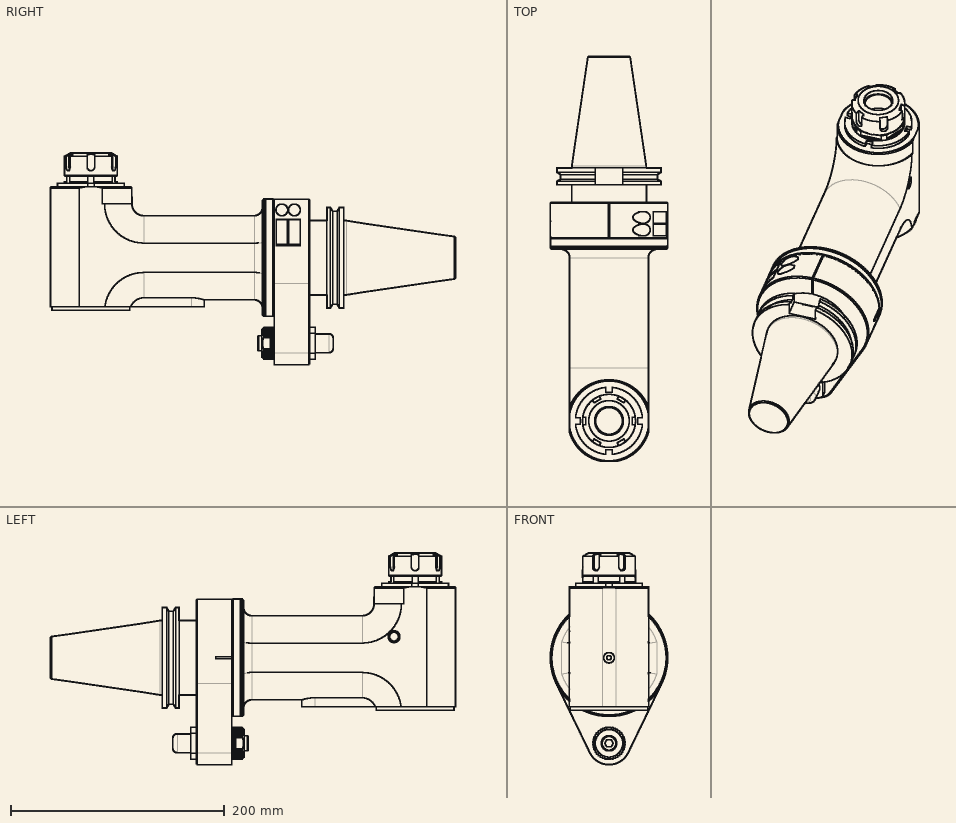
import cadquery as cq
import math


OVERALL_LENGTH = 379.3

head_radius = 77.0 / 2
tube_radius = 79.0 / 2
body_half_width = 74.0 / 2
front_flat_width = 13.0
head_top = 66.5
head_bottom = -46.0
head_top_chamfer = 1.0
elbow_centre_z = 50.5
elbow_centre_y = elbow_centre_z - tube_radius + head_radius
foot_radius = 36.5
foot_height = 3.5
pad_width = 25.0
pad_rear = 106.2
head_front = -math.sqrt(head_radius**2 - (front_flat_width / 2)**2)

countersink_angle = 45
drill_tip_angle = 59
front_mouth_diameter = 10.0
front_drill_diameter = 4.0
front_drill_depth = 6.0
side_mouth_diameter = 11.0
side_drill_diameter = 8.5
side_drill_depth = 3.8
side_drill_y = 19.7
side_drill_z = 19.7

flange_front = 160.5
flange_rear = 171.5
flange_radius = 55.0
flange_front_chamfer = 1.5
flange_rear_chamfer = 1.0
flange_groove_front = 162.5
flange_groove_width = 1.0
flange_groove_depth = 0.8
tube_root_fillet = 7.5

neck_radius = 70.0 / 2
grip_front = 220.8
grip_rear = 236.5
grip_radius = 98.0 / 2
groove_front = 224.0
groove_rear = 232.5
groove_root_radius = 45.5
groove_run = (grip_radius - groove_root_radius) * math.tan(math.radians(30))
drive_slot_width = 25.8
drive_slot_floor = 35.5
gauge_radius = 35.0
gauge_rear = 239.0
taper_end = OVERALL_LENGTH + head_front
taper_end_chamfer = 1.0
taper_end_radius = gauge_radius - (taper_end - gauge_rear) * 7 / 48

collar_radius = 31.5
collar_top = 69.8
collar_notch_count = 4
collar_notch_width = 6.0
collar_notch_floor = 27.0
nut_radius = 49.5 / 2
nose_top = 76.2
nose_flat_bottom = 71.3
nose_flat_distance = 22.8
slot_count = 6
nut_top = 98.2
nut_face_radius = 19.0
nut_top_chamfer = 3.5
nut_bottom_chamfer = 0.95
nut_bore_radius = 12.5
nut_mouth_radius = 27.0 / 2
nut_mouth_depth = 4.5
nut_slot_width = 7.2
nut_slot_floor = 21.5
nut_slot_bottom = 81.5

arm_front = flange_rear
arm_rear = 205.0
arm_edge_chamfer = 1.0
arm_end_radius = 20.0
pin_z = -80.0
clamp_slit_width = 1.0
clamp_hole_diameter = 11.0
clamp_hole_z = 44.8
clamp_hole_floor_x = 11.5
clamp_hole_y = (178.5, 190.5)
patch_inner_x = 41.5
patch_outer_x = 53.5
patch_width = 10.5
patch_depth = 0.5
mark_width = 2.0
mark_length = 15.0
mark_depth = 1.0

pin_radius = 18.0 / 2
pin_end = 227.0
pin_end_fillet = 4.0
pin_collar_radius = 15.0
pin_collar_rear = 210.0
pin_collar_flat_width = 18.5
pin_collar_flat_distance = math.sqrt(pin_collar_radius**2 - (pin_collar_flat_width / 2)**2)
knob_radius = 15.0
knob_front = 160.0
knob_chamfer = 2.3
knurl_count = 40
knurl_depth = 0.8
knurl_fill = 0.8
knob_flat_width = 10.5
knob_flat_rear = 167.5
knob_flat_distance = math.sqrt(knob_radius**2 - (knob_flat_width / 2)**2) - knurl_depth
stud_radius = 7.2
stud_front = 156.3
stud_chamfer = 0.8
socket_width = 7.0
socket_depth = 3.8


def box(x_range, y_range, z_range):
    """Box between two limits on each axis."""
    size = [limits[1] - limits[0] for limits in (x_range, y_range, z_range)]
    corner = cq.Vector(x_range[0], y_range[0], z_range[0])
    return cq.Workplane(cq.Solid.makeBox(*size, corner))


def rod_y(radius, y_start, y_end, z=0.0):
    """Cylinder along Y between two Y positions."""
    return cq.Workplane(cq.Solid.makeCylinder(
        radius, y_end - y_start, cq.Vector(0, y_start, z), cq.Vector(0, 1, 0)))


def rod_z(radius, z_start, z_end):
    """Cylinder along the spindle axis between two heights."""
    return cq.Workplane(cq.Solid.makeCylinder(radius, z_end - z_start, cq.Vector(0, 0, z_start)))


def around_spindle(cutter, count):
    """Copies of one cutter spaced evenly about the spindle axis."""
    step = 360 / count
    return [cutter.rotate((0, 0, 0), (0, 0, 1), i * step) for i in range(count)]


def cut_all(body, cutters):
    for cutter in cutters:
        body = body.cut(cutter)
    return body



def make_tube_and_flange():
    """Flat-sided tube rising from the bearing flange with a filleted root."""
    flange = rod_y(flange_radius, flange_front, flange_rear)
    flange = flange.faces("<Y").chamfer(flange_front_chamfer)
    flange = flange.faces(">Y").chamfer(flange_rear_chamfer)
    groove_rear_y = flange_groove_front + flange_groove_width
    scribed_ring = rod_y(flange_radius, flange_groove_front, groove_rear_y).cut(
        rod_y(flange_radius - flange_groove_depth, flange_groove_front, groove_rear_y))
    flange = flange.cut(scribed_ring)
    side_limits = (-body_half_width, body_half_width)
    tube = rod_y(tube_radius, 0, flange_front).intersect(
        box(side_limits, (0, flange_front), (-tube_radius, tube_radius)))
    root_reach = tube_radius + tube_root_fillet / 2
    root = cq.selectors.BoxSelector(
        (-root_reach, flange_front - 0.5, -root_reach), (root_reach, flange_front + 0.5, root_reach),
        boundingbox=True)
    return tube.union(flange).edges(root).fillet(tube_root_fillet)


def make_elbow():
    """Quarter bend that leads the tube upward into the head."""
    return (cq.Workplane("XZ", origin=(0, elbow_centre_y, 0))
            .circle(tube_radius)
            .revolve(90, (0, elbow_centre_z), (-1, elbow_centre_z)))


def make_head():
    """Upright round head with both elbows, trimmed to its side and front flats."""
    column = rod_z(head_radius, head_bottom, head_top)
    column = column.faces(">Z").chamfer(head_top_chamfer)
    side_limits = (-body_half_width, body_half_width)
    trim = box(side_limits, (head_front, elbow_centre_y), (head_bottom, head_top))
    rear_half = box(side_limits, (0, elbow_centre_y), (head_bottom, head_top))
    upper_elbow = make_elbow()
    lower_elbow = upper_elbow.mirror("XY")
    foot = rod_z(foot_radius, head_bottom - foot_height, head_bottom)
    head = column.intersect(trim)
    for elbow in (upper_elbow, lower_elbow):
        head = head.union(elbow.intersect(rear_half))
    return head.union(foot)


def make_pad():
    """Pad under the tube with a half-round rear end."""
    half_width = pad_width / 2
    centre_y = pad_rear - half_width
    pad = box((-half_width, half_width), (0, centre_y), (head_bottom, 0))
    round_end = rod_z(half_width, head_bottom, 0).translate((0, centre_y, 0))
    return pad.union(round_end)


def make_shank():
    """Neck, gripper flange and tool taper turned about the Y axis."""
    outline = [
        (0, flange_rear),
        (neck_radius, flange_rear),
        (neck_radius, grip_front),
        (grip_radius, grip_front),
        (grip_radius, groove_front),
        (groove_root_radius, groove_front + groove_run),
        (groove_root_radius, groove_rear - groove_run),
        (grip_radius, groove_rear),
        (grip_radius, grip_rear),
        (gauge_radius, grip_rear),
        (gauge_radius, gauge_rear),
        (taper_end_radius, taper_end - taper_end_chamfer),
        (taper_end_radius - taper_end_chamfer, taper_end),
        (0, taper_end),
    ]
    shank = cq.Workplane("XY").polyline(outline).close().revolve(360, (0, 0), (0, 1))
    slot = box((-drive_slot_width / 2, drive_slot_width / 2), (grip_front, grip_rear),
               (drive_slot_floor, grip_radius))
    return cut_all(shank, [slot, slot.mirror("XY")])


def make_spindle_nose():
    """Notched collar and the nose with six flats below the collet nut."""
    collar = rod_z(collar_radius, head_top, collar_top)
    notch = box((collar_notch_floor, collar_radius), (-collar_notch_width / 2, collar_notch_width / 2),
                (head_top, collar_top))
    collar = cut_all(collar, around_spindle(notch, collar_notch_count))
    nose = rod_z(nut_radius, collar_top, nose_top)
    flat = box((nose_flat_distance, nut_radius), (-nut_radius, nut_radius), (nose_flat_bottom, nose_top))
    flat = flat.rotate((0, 0, 0), (0, 0, 1), 180 / slot_count)
    nose = cut_all(nose, around_spindle(flat, slot_count))
    return collar.union(nose)


def make_drilling(mouth_diameter, drill_diameter, depth):
    """Countersunk blind hole that enters at the origin and runs toward +Y."""
    mouth_radius = mouth_diameter / 2
    drill_radius = drill_diameter / 2
    sink_depth = (mouth_radius - drill_radius) / math.tan(math.radians(countersink_angle))
    tip_length = drill_radius / math.tan(math.radians(drill_tip_angle))
    outline = [
        (0, 0),
        (mouth_radius, 0),
        (drill_radius, sink_depth),
        (drill_radius, depth),
        (0, depth + tip_length),
    ]
    return cq.Workplane("XY").polyline(outline).close().revolve(360, (0, 0), (0, 1))


def make_housing():
    housing = make_tube_and_flange().union(make_pad()).union(make_head())
    housing = housing.union(make_shank()).union(make_spindle_nose())
    front_drilling = make_drilling(front_mouth_diameter, front_drill_diameter, front_drill_depth)
    front_drilling = front_drilling.translate((0, head_front, 0))
    side_drilling = make_drilling(side_mouth_diameter, side_drill_diameter, side_drill_depth)
    side_drilling = side_drilling.rotate((0, 0, 0), (0, 0, 1), -90)
    side_drilling = side_drilling.translate((-body_half_width, side_drill_y, side_drill_z))
    return cut_all(housing, [front_drilling, side_drilling])



def make_collet_nut():
    """Slotted nut with a conical top and a stepped bore."""
    mouth_floor = nut_top - nut_mouth_depth
    outline = [
        (nut_bore_radius, nose_top),
        (nut_radius - nut_bottom_chamfer, nose_top),
        (nut_radius, nose_top + nut_bottom_chamfer),
        (nut_radius, nut_top - nut_top_chamfer),
        (nut_face_radius, nut_top),
        (nut_mouth_radius, nut_top),
        (nut_mouth_radius, mouth_floor),
        (nut_bore_radius, mouth_floor),
    ]
    nut = cq.Workplane("XZ").polyline(outline).close().revolve(360, (0, 0), (0, 1))
    half_slot = nut_slot_width / 2
    round_z = nut_slot_bottom + half_slot
    slot = box((nut_slot_floor, nut_radius), (-half_slot, half_slot), (round_z, nut_top))
    slot_end = cq.Solid.makeCylinder(half_slot, nut_radius - nut_slot_floor,
                                     cq.Vector(nut_slot_floor, 0, round_z), cq.Vector(1, 0, 0))
    return cut_all(nut, around_spindle(slot.union(slot_end), slot_count))



def make_torque_arm():
    """Clamp ring around the neck, tapering tangentially down to the stop pin."""
    tangent_sine = (flange_radius - arm_end_radius) / -pin_z
    tangent_cosine = math.sqrt(1 - tangent_sine**2)
    ring_x = flange_radius * tangent_cosine
    ring_z = -flange_radius * tangent_sine
    end_x = arm_end_radius * tangent_cosine
    end_z = pin_z - arm_end_radius * tangent_sine
    arm = (cq.Workplane("XZ", origin=(0, arm_rear, 0))
           .moveTo(ring_x, ring_z)
           .threePointArc((0, flange_radius), (-ring_x, ring_z))
           .lineTo(-end_x, end_z)
           .threePointArc((0, pin_z - arm_end_radius), (end_x, end_z))
           .close()
           .extrude(arm_rear - arm_front))
    arm = arm.faces(">Y").chamfer(arm_edge_chamfer)

    bore = rod_y(neck_radius, arm_front, arm_rear)
    pin_hole = rod_y(pin_radius, arm_front, arm_rear, pin_z)
    slit = box((-clamp_slit_width / 2, clamp_slit_width / 2), (arm_front, arm_rear), (0, flange_radius))
    index_mark = box((-flange_radius, mark_depth - flange_radius), (arm_front, arm_front + mark_length),
                     (-mark_width / 2, mark_width / 2))
    clamp_holes = [
        cq.Solid.makeCylinder(clamp_hole_diameter / 2, flange_radius,
                              cq.Vector(clamp_hole_floor_x, y, clamp_hole_z), cq.Vector(1, 0, 0))
        for y in clamp_hole_y
    ]
    skin = rod_y(flange_radius, arm_front, arm_rear).cut(
        rod_y(flange_radius - patch_depth, arm_front, arm_rear))
    patches = [
        skin.intersect(box((patch_inner_x, patch_outer_x), (y - patch_width / 2, y + patch_width / 2),
                           (0, flange_radius)))
        for y in clamp_hole_y
    ]
    return cut_all(arm, [bore, pin_hole, slit, index_mark, *clamp_holes, *patches])



def make_knob():
    """Knurled knob with a chamfered front and two flats."""
    knob = rod_y(knob_radius, knob_front, arm_front).faces("<Y").chamfer(knob_chamfer)
    groove_half_width = math.pi * knob_radius / knurl_count * knurl_fill
    groove = (cq.Workplane("XZ", origin=(0, arm_front, 0))
              .polyline([(knob_radius - knurl_depth, 0), (knob_radius, groove_half_width),
                         (knob_radius + knurl_depth, 0), (knob_radius, -groove_half_width)])
              .close()
              .extrude(arm_front - knob_front))
    step = 360 / knurl_count
    grooves = [groove.rotate((0, 0, 0), (0, 1, 0), i * step) for i in range(knurl_count)]
    flat = box((knob_flat_distance, knob_radius), (knob_front, knob_flat_rear),
               (-knob_flat_width / 2, knob_flat_width / 2))
    return cut_all(knob, [*grooves, flat, flat.mirror("YZ")])


def make_stop_pin():
    """Pin through the arm with a flatted collar behind it and the knob and stud in front."""
    pin = rod_y(pin_radius, arm_front, pin_end).faces(">Y").fillet(pin_end_fillet)
    collar = rod_y(pin_collar_radius, arm_rear, pin_collar_rear)
    collar = collar.intersect(box((-pin_collar_flat_distance, pin_collar_flat_distance),
                                  (arm_rear, pin_collar_rear), (-pin_collar_radius, pin_collar_radius)))
    stud = rod_y(stud_radius, stud_front, knob_front).faces("<Y").chamfer(stud_chamfer)
    socket = (cq.Workplane("XZ", origin=(0, stud_front + socket_depth, 0))
              .polygon(6, socket_width / math.cos(math.radians(30)))
              .extrude(socket_depth))
    pin = pin.union(collar).union(make_knob()).union(stud).cut(socket)
    return pin.translate((0, 0, pin_z))


housing = make_housing()
collet_nut = make_collet_nut()
torque_arm = make_torque_arm()
stop_pin = make_stop_pin()

result = cq.Compound.makeCompound([
    housing.val(),
    collet_nut.val(),
    torque_arm.val(),
    stop_pin.val(),
])